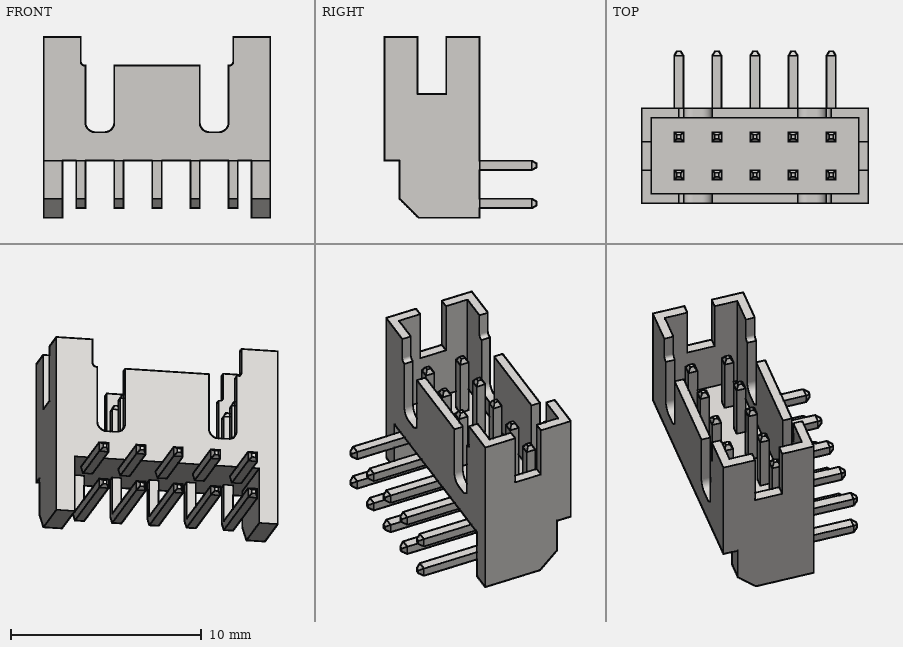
import cadquery as cq


length = 11.9
depth = 5.0
long_wall = 0.5
end_wall = 0.51
total_height = 9.5
shroud_bottom = 3.0
floor_thickness = 0.5

step_width = 8.0
step_depth = 1.5
step_fillet = 0.2
slot_width = 1.5
slot_depth = 5.0
slot_fillet = 0.5
slot_spacing = 6.0

end_notch_width = 1.5
end_notch_depth = 3.0

leg_width = 1.0
leg_setback = 0.8
leg_chamfer = 1.0

pin_rows = 2
pin_columns = 5
pitch = 2.0
pin_size = 0.5
tip_length = 0.25
tip_flat = 0.2
pin_top = 7.0
tail_length = 3.0
lower_tail_bottom = 0.5

floor_top = shroud_bottom + floor_thickness
front = -depth / 2
back = depth / 2


def box_between(x_range, y_range, z_range):
    """Box spanning the given (low, high) ranges."""
    spans = [high - low for low, high in (x_range, y_range, z_range)]
    corner = (x_range[0], y_range[0], z_range[0])
    return cq.Workplane("XY").box(*spans, centered=False).translate(corner)


def make_shroud():
    """Box with a cavity open at the top."""
    outer = box_between((-length / 2, length / 2), (front, back), (shroud_bottom, total_height))
    cavity = box_between(
        (-length / 2 + end_wall, length / 2 - end_wall),
        (front + long_wall, back - long_wall),
        (floor_top, total_height),
    )
    return outer.cut(cavity)


def cut_long_walls(body):
    """Cut the step and both keying slots through the front and back walls."""
    step = box_between(
        (-step_width / 2, step_width / 2), (front, back), (total_height - step_depth, total_height)
    )
    body = body.cut(step.edges("|Y and <Z").fillet(step_fillet))
    for side in (-1, 1):
        middle = side * slot_spacing / 2
        slot = box_between(
            (middle - slot_width / 2, middle + slot_width / 2),
            (front, back),
            (total_height - slot_depth, total_height - step_depth),
        )
        body = body.cut(slot.edges("|Y and <Z").fillet(slot_fillet))
    return body


def cut_end_walls(body):
    """Cut the central notch through both end walls."""
    notch = box_between(
        (-length / 2, length / 2),
        (-end_notch_width / 2, end_notch_width / 2),
        (total_height - end_notch_depth, total_height),
    )
    return body.cut(notch)


def make_leg(x_start):
    """End leg, set back from the front wall, with its lower front edge chamfered."""
    leg = box_between((x_start, x_start + leg_width), (front + leg_setback, back), (0, shroud_bottom))
    return leg.edges("|X and <Y and <Z").chamfer(leg_chamfer)


def make_pin_tip(plane):
    """Square taper growing from the plane's origin along its normal."""
    return (
        cq.Workplane(plane)
        .rect(pin_size, pin_size)
        .workplane(offset=tip_length)
        .rect(tip_flat, tip_flat)
        .loft()
    )


def make_pin(x, y, tail_bottom):
    """Pin bent at a right angle, post up and tail to the back, with the outer corner of the bend cut off."""
    half = pin_size / 2
    post_end = pin_top - tip_length
    tail_end = back + tail_length - tip_length
    tail_top = tail_bottom + pin_size
    stem = (
        cq.Workplane("YZ", origin=(x - half, 0, 0))
        .moveTo(y - half, post_end)
        .lineTo(y - half, tail_top)
        .lineTo(y + half, tail_bottom)
        .lineTo(tail_end, tail_bottom)
        .lineTo(tail_end, tail_top)
        .lineTo(y + half, tail_top)
        .lineTo(y + half, post_end)
        .close()
        .extrude(pin_size)
    )
    post_tip = make_pin_tip(cq.Plane((x, y, post_end)))
    tail_tip = make_pin_tip(
        cq.Plane((x, tail_end, tail_bottom + half), xDir=(1, 0, 0), normal=(0, 1, 0))
    )
    return stem.union(post_tip).union(tail_tip)


result = cut_end_walls(cut_long_walls(make_shroud()))

for leg_start in (-length / 2, length / 2 - leg_width):
    result = result.union(make_leg(leg_start))

for row in range(pin_rows):
    for column in range(pin_columns):
        pin_x = (column - (pin_columns - 1) / 2) * pitch
        pin_y = (row - (pin_rows - 1) / 2) * pitch
        result = result.union(make_pin(pin_x, pin_y, lower_tail_bottom + row * pitch))